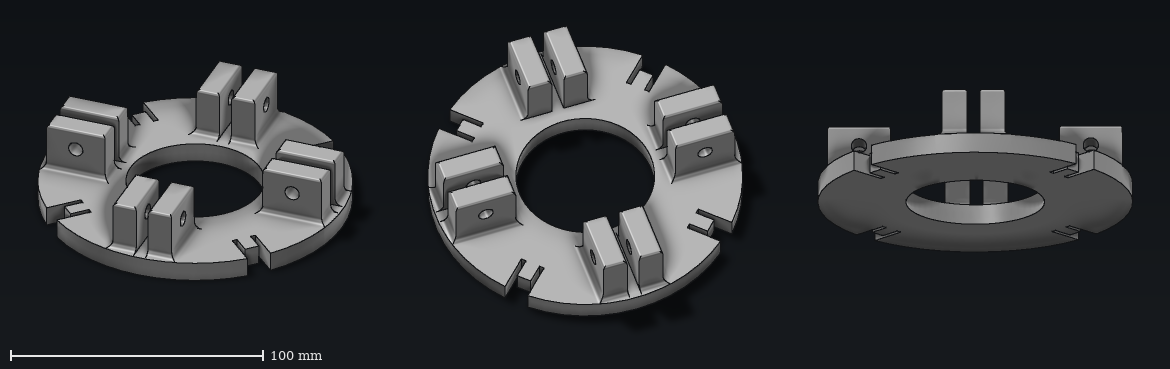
import cadquery as cq
import math

overall_width = 124.6
ring_thickness = 8.1
bore_diameter = 55.0

slot_width = 10.0
slot_floor_radius = 47.5
tongue_width = 6.0
tongue_tip_radius = 55.5

ring_radius = math.hypot(overall_width / 2, slot_width / 2)

overall_height = 28.0
lug_height = overall_height - ring_thickness
lug_side = 25.0
lug_center_radius = 46.0
lug_gap = 5.0
foot_radius = 3.0
foot_length = lug_side + 2 * foot_radius
top_edge_radius = 1.5
pin_hole_diameter = 6.0
pin_hole_height = 11.5

lug_angles = (45, 135, 225, 315)
plain_inner_face_angle = 315


def rim_block(inner_radius, outer_radius, width, angle):
    """Radial block through the thickness of the ring."""
    length = outer_radius - inner_radius
    block = cq.Workplane("XY").box(length, width, ring_thickness, centered=(False, True, False))
    return block.translate((inner_radius, 0, 0)).rotate((0, 0, 0), (0, 0, 1), angle)


def make_ring():
    ring = (
        cq.Workplane("XY")
        .circle(ring_radius)
        .circle(bore_diameter / 2)
        .extrude(ring_thickness)
    )
    for angle in (0, 90, 180, 270):
        ring = ring.cut(rim_block(slot_floor_radius, ring_radius, slot_width, angle))
        ring = ring.union(rim_block(slot_floor_radius, tongue_tip_radius, tongue_width, angle))
    return ring


def flared_slab(plane, flare_both_ends):
    """Slab as tall as a lug, its straight sides curving outward at the foot."""
    half = lug_side / 2
    mid_arc = foot_radius * (1 - math.sqrt(0.5))
    outline = cq.Workplane(plane)
    if flare_both_ends:
        outline = (
            outline.moveTo(-half, foot_radius)
            .threePointArc((-half - mid_arc, mid_arc), (-half - foot_radius, 0))
        )
    else:
        outline = outline.moveTo(-half, 0)
    return (
        outline.lineTo(half + foot_radius, 0)
        .threePointArc((half + mid_arc, mid_arc), (half, foot_radius))
        .lineTo(half, lug_height)
        .lineTo(-half, lug_height)
        .close()
        .extrude(foot_length / 2, both=True)
    )


def make_lug(angle):
    """Lug modelled with X pointing radially outward, then turned to its angle."""
    has_inner_fillet = angle != plain_inner_face_angle
    lug = flared_slab("XZ", has_inner_fillet).intersect(flared_slab("YZ", True))

    gap = cq.Workplane("XY").box(foot_length, lug_gap, lug_height, centered=(True, True, False))
    lug = lug.cut(gap).faces(">Z").edges().fillet(top_edge_radius)

    pin_hole = (
        cq.Workplane("XZ")
        .center(0, pin_hole_height)
        .circle(pin_hole_diameter / 2)
        .extrude(lug_side, both=True)
    )
    return (
        lug.cut(pin_hole)
        .translate((lug_center_radius, 0, ring_thickness))
        .rotate((0, 0, 0), (0, 0, 1), angle)
    )


rim_limit = cq.Workplane("XY").circle(ring_radius).extrude(overall_height)

result = make_ring()
for lug_angle in lug_angles:
    result = result.union(make_lug(lug_angle).intersect(rim_limit))